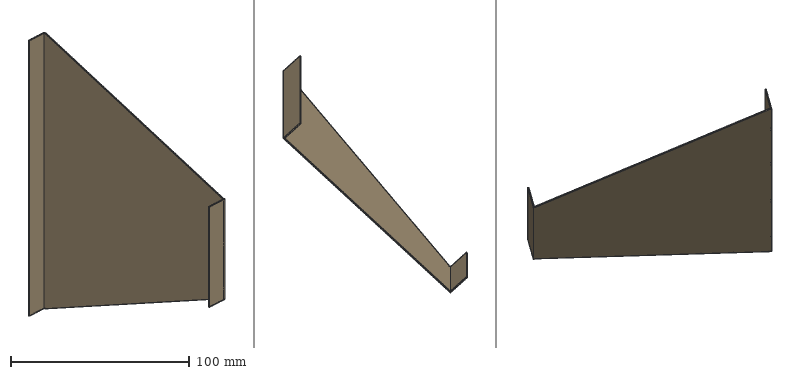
import cadquery as cq

width = 138.0
depth = 13.0
tall_height = 175.5
short_height = 63.9

sheet = 0.7
fold_strip = 2 * sheet

half_width = width / 2
half_tall = tall_height / 2
half_short = short_height / 2
taper_end = half_width - fold_strip


def make_channel():
    """U-shaped sheet with square folds, open toward -Y and centred on Z."""
    outer = cq.Workplane("XY").rect(width, depth).extrude(half_tall, both=True)
    cavity = (
        cq.Workplane("XY")
        .center(0, -sheet)
        .rect(width - 2 * sheet, depth)
        .extrude(half_tall, both=True)
    )
    return outer.cut(cavity)


def make_outline():
    """Tapered XZ outline, with level ends across each fold and flange."""
    upper = [
        (-half_width, half_tall),
        (-taper_end, half_tall),
        (taper_end, half_short),
        (half_width, half_short),
    ]
    lower = [(x, -z) for x, z in reversed(upper)]
    return cq.Workplane("XZ").polyline(upper + lower).close().extrude(depth, both=True)


result = make_channel().intersect(make_outline())